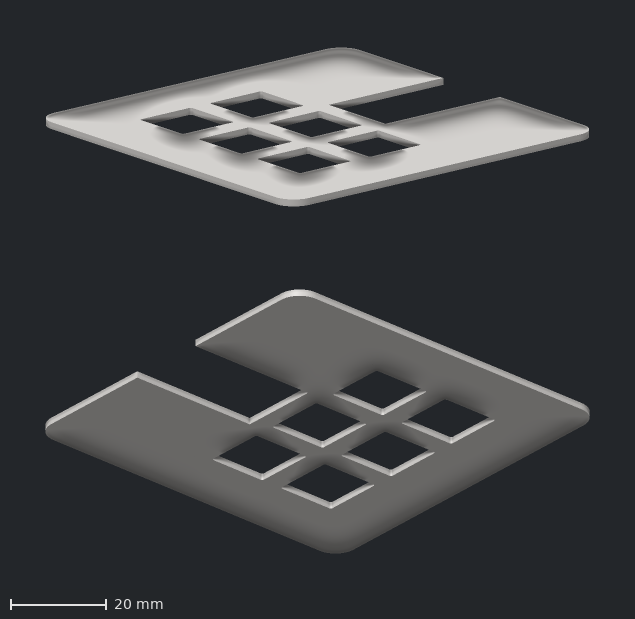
import cadquery as cq

plate_width = 82.9
plate_length = 83.9
plate_thickness = 1.5
plate_corner_radius = 5.0

notch_width = 18.45
notch_depth = 31.2

window_size = 14.0
window_corner_radius = 0.5
window_pitch = 19.05
window_columns = 3
window_rows = 2
window_grid_y = -10.1


def make_plate():
    return (
        cq.Workplane("XY")
        .rect(plate_width, plate_length)
        .extrude(plate_thickness)
        .edges("|Z")
        .fillet(plate_corner_radius)
    )


def make_notch():
    notch_center_y = (plate_length - notch_depth) / 2
    return (
        cq.Workplane("XY")
        .center(0, notch_center_y)
        .rect(notch_width, notch_depth)
        .extrude(plate_thickness)
    )


def make_windows():
    return (
        cq.Workplane("XY")
        .center(0, window_grid_y)
        .rarray(window_pitch, window_pitch, window_columns, window_rows)
        .rect(window_size, window_size)
        .extrude(plate_thickness)
        .edges("|Z")
        .fillet(window_corner_radius)
    )


result = make_plate().cut(make_notch()).cut(make_windows())